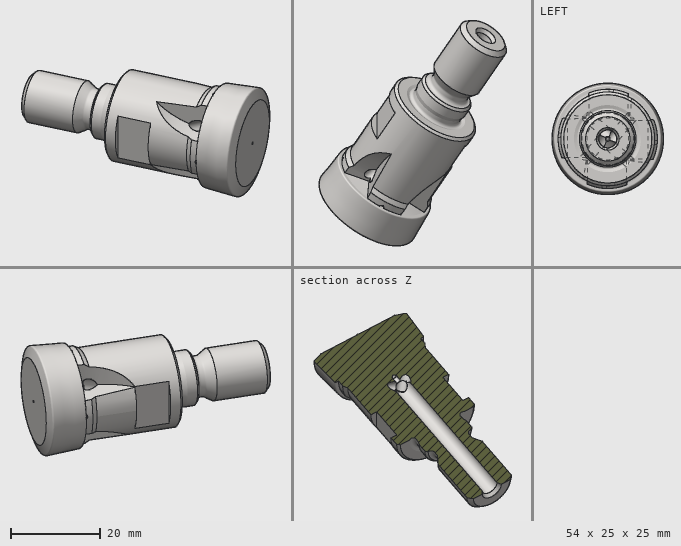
import cadquery as cq
import math

total_length = 54.0
shank_chamfer = 1.0
shank_end = 12.75
groove_start = 15.15
groove_end = 16.0
collar_start = 16.9
collar_end = 19.7
neck_start = 20.7
undercut_start = 21.55
body_start = 22.05
rim_start = 42.15
rim_full = 43.3
head_start = 45.0
head_widest = 52.9
head_front = 53.85

shank_radius = 12.0 / 2
groove_radius = 9.4 / 2
collar_radius = 12.7 / 2
neck_radius = 12.1 / 2
undercut_radius = 7.5
body_radius = 21.0 / 2
rim_radius = 11.1
head_back_radius = 12.0
head_radius = 25.05 / 2
head_front_radius = 9.95

collar_chamfer = 0.55
body_chamfer = 0.55
body_chamfer_rise = 0.65
undercut_depth = 0.2
undercut_rise = 0.75
groove_blend = 0.5
head_back_fillet = 0.3
head_widest_fillet = 0.45
tip_radius = 0.25

hub_start = 44.15
hub_inner_radius = 5.65
hub_outer_radius = 10.95

flat_start = 24.95
flat_end = 32.9
flat_distance = 8.95

pocket_count = 4
pocket_start = 32.75
wall_offset_start = 5.35
wall_offset_end = 4.5
floor_height = 4.15
floor_radius = 17.6

bore_radius = 4.0 / 2
bore_chamfer = 0.55
bore_chamfer_depth = 0.9
bore_depth = 37.15
branch_diameter = 2.5
branch_inner = (36.45, -1.15, 0.1)
branch_outer = (43.8, -6.2, 5.95)
pilot_radius = 0.55
pilot_depth = 39.15

notch_diameter = 0.95
notch_depth = 0.55
notch_offset = 0.8


def make_turned_body():
    """Shank, groove, collar and body, revolved about X."""
    slope = (shank_radius - groove_radius) / (groove_start - shank_end)
    blend_start = groove_start - groove_blend
    blend_radius = groove_radius + slope * groove_blend / 2
    fillet = collar_start - groove_end
    mid = math.sqrt(0.5)
    undercut_bottom = (body_start + undercut_depth, neck_radius + undercut_rise)
    profile = (
        cq.Workplane("XY")
        .moveTo(0, 0)
        .lineTo(0, shank_radius - shank_chamfer)
        .lineTo(shank_chamfer, shank_radius)
        .lineTo(shank_end, shank_radius)
        .lineTo(blend_start, blend_radius)
        .tangentArcPoint((groove_start, groove_radius), relative=False)
        .lineTo(groove_end, groove_radius)
        .threePointArc(
            (groove_end + fillet * mid, groove_radius + fillet * (1 - mid)),
            (collar_start, groove_radius + fillet),
        )
        .lineTo(collar_start, collar_radius - collar_chamfer)
        .lineTo(collar_start + collar_chamfer, collar_radius)
        .lineTo(collar_end, collar_radius)
        .lineTo(neck_start, neck_radius)
        .lineTo(undercut_start, neck_radius)
        .tangentArcPoint(undercut_bottom, relative=False)
        .lineTo(body_start, undercut_radius)
        .lineTo(body_start, body_radius - body_chamfer_rise)
        .lineTo(body_start + body_chamfer, body_radius)
        .lineTo(rim_start, body_radius)
        .lineTo(rim_full, rim_radius)
        .lineTo(head_start, rim_radius)
        .lineTo(head_start, 0)
        .close()
    )
    return profile.revolve(360, (0, 0, 0), (1, 0, 0))


def make_head():
    """Tapered cutting head with a small pointed centre tip and a conical hub behind it."""
    head = (
        cq.Workplane("XY")
        .moveTo(hub_start, 0)
        .lineTo(hub_start, hub_inner_radius)
        .lineTo(head_start, hub_outer_radius)
        .lineTo(head_start, head_back_radius)
        .lineTo(head_widest, head_radius)
        .lineTo(head_front, head_front_radius)
        .lineTo(head_front, tip_radius)
        .lineTo(total_length, 0)
        .close()
        .revolve(360, (0, 0, 0), (1, 0, 0))
    )
    back_edge = head.edges(cq.selectors.RadiusNthSelector(-2))
    head = back_edge.fillet(head_back_fillet)
    widest_edge = head.edges(cq.selectors.RadiusNthSelector(-1))
    return widest_edge.fillet(head_widest_fillet)


def cut_flats(body):
    """Two parallel wrench flats, open across Z."""
    for side in (-1, 1):
        centre_y = side * (flat_distance + body_radius / 2)
        cutter = cq.Workplane("XY").box(flat_end - flat_start, body_radius, 2 * body_radius)
        body = body.cut(cutter.translate(((flat_start + flat_end) / 2, centre_y, 0)))
    return body


def make_pocket():
    """Pocket in the -Y, +Z quadrant: a tilted wall facing -Y over a curved floor."""
    reach = 2 * rim_radius
    floor_centre = floor_height + floor_radius
    sweep = math.asin((head_start - pocket_start) / floor_radius)
    start_height = floor_centre - floor_radius * math.cos(sweep)
    above_floor = (
        cq.Workplane("XZ")
        .moveTo(head_start, floor_height)
        .threePointArc(
            (
                head_start - floor_radius * math.sin(sweep / 2),
                floor_centre - floor_radius * math.cos(sweep / 2),
            ),
            (pocket_start, start_height),
        )
        .lineTo(pocket_start, reach)
        .lineTo(head_start, reach)
        .close()
        .extrude(reach)
    )
    outside_wall = (
        cq.Workplane("XY")
        .moveTo(pocket_start, -wall_offset_start)
        .lineTo(head_start, -wall_offset_end)
        .lineTo(head_start, -reach)
        .lineTo(pocket_start, -reach)
        .close()
        .extrude(reach)
    )
    return above_floor.intersect(outside_wall)


def make_branch():
    """Coolant branch from the bore to the inner corner of a pocket."""
    start = cq.Vector(*branch_inner)
    axis = cq.Vector(*branch_outer) - start
    return cq.Workplane(cq.Solid.makeCylinder(branch_diameter / 2, axis.Length, start, axis))


def make_notch():
    """Small radial hole in the top tooth, half covered by the head."""
    top = cq.Vector(head_start, -notch_offset, rim_radius)
    return cq.Workplane(cq.Solid.makeCylinder(notch_diameter / 2, notch_depth, top, cq.Vector(0, 0, -1)))


def make_bore():
    """Chamfered coolant bore ending in a smaller, pointed pilot hole."""
    profile = (
        cq.Workplane("XY")
        .moveTo(0, 0)
        .lineTo(0, bore_radius + bore_chamfer)
        .lineTo(bore_chamfer_depth, bore_radius)
        .lineTo(bore_depth, bore_radius)
        .lineTo(bore_depth, pilot_radius)
        .lineTo(pilot_depth, pilot_radius)
        .lineTo(pilot_depth + pilot_radius, 0)
        .close()
    )
    return profile.revolve(360, (0, 0, 0), (1, 0, 0))


result = cut_flats(make_turned_body()).cut(make_bore())
for index in range(pocket_count):
    angle = index * 360 / pocket_count
    for cutter in (make_pocket(), make_branch(), make_notch()):
        result = result.cut(cutter.rotate((0, 0, 0), (1, 0, 0), angle))
result = result.union(make_head())